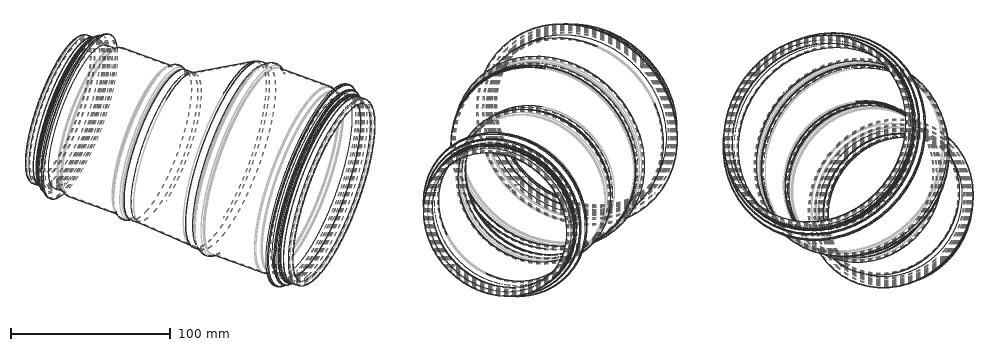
import cadquery as cq
import math


TOTAL_LENGTH = 185.2
SMALL_RADIUS = 99.0 / 2
LARGE_RADIUS = 124.0 / 2
WALL = 0.6

SPIGOT_LENGTH = 73.5
SEAL_THICKNESS = 1.3
GROOVE_DEPTH = SEAL_THICKNESS + WALL
SHEET_START = 2.8
HEM_OUTER_LENGTH = 6.0
HEM_INNER_LENGTH = 9.3
HEM_HEIGHT = GROOVE_DEPTH + 2 * WALL
RAMP_START = 21.9
RAMP_END = 25.4
RAMP_FOOT_BEND = 1.5
RAMP_TOP_BEND = 2.2
BEAD_CENTRE = 64.3
BEAD_HALF_WIDTH = 3.5
BEAD_HEIGHT = 2.0
BEAD_FLANK_ANGLE = 42.0
BEAD_FOOT_BEND = 1.0

SEAL_END = 15.5
SEAL_LIPS = [(8.0, 8.7, 0.7), (10.0, 11.3, 2.8), (13.9, SEAL_END, 5.2)]
LIP_CHAMFER = 0.5

SLEEVE_OVERLAP = 4.6
CONE_START = 75.5
CONE_END = 109.8
SMALL_SLEEVE_RADIUS = SMALL_RADIUS + WALL
LARGE_SLEEVE_RADIUS = LARGE_RADIUS - WALL
ECCENTRICITY = LARGE_SLEEVE_RADIUS - SMALL_SLEEVE_RADIUS


def unit(start, end):
    """Unit direction from one point to another."""
    length = math.dist(start, end)
    return (end[0] - start[0]) / length, (end[1] - start[1]) / length


def offset_path(path, distance):
    """Shift a bent path toward the axis, keeping its bends concentric."""
    points = [(x, y) for x, y, _ in path]
    shifted = []
    for i, (x, y, bend) in enumerate(path):
        before = unit(points[max(i - 1, 0)], points[max(i, 1)])
        last = len(path) - 1
        after = unit(points[min(i, last - 1)], points[min(i + 1, last)])
        share = distance / (1 + before[0] * after[0] + before[1] * after[1])
        turns_left = before[0] * after[1] - before[1] * after[0] > 0
        new_bend = bend + distance if turns_left else bend - distance
        shift_x = share * (before[1] + after[1])
        shift_y = -share * (before[0] + after[0])
        shifted.append((x + shift_x, y + shift_y, new_bend if bend else 0))
    return shifted


def trace_path(sketch, path):
    """Continue a sketch along a path of (x, y, bend radius), rounding each bend."""
    for before, corner, after in zip(path, path[1:], path[2:]):
        point = corner[:2]
        back = unit(point, before[:2])
        ahead = unit(point, after[:2])
        half_angle = math.acos(back[0] * ahead[0] + back[1] * ahead[1]) / 2
        tangent = corner[2] / math.tan(half_angle)
        middle = unit((0, 0), (back[0] + ahead[0], back[1] + ahead[1]))
        reach = corner[2] / math.sin(half_angle) - corner[2]
        bend_start = (point[0] + tangent * back[0], point[1] + tangent * back[1])
        bend_middle = (point[0] + reach * middle[0], point[1] + reach * middle[1])
        bend_end = (point[0] + tangent * ahead[0], point[1] + tangent * ahead[1])
        sketch = sketch.lineTo(*bend_start).threePointArc(bend_middle, bend_end)
    return sketch.lineTo(*path[-1][:2])


def revolve_about_x(sketch):
    return sketch.close().revolve(360, (0, 0, 0), (1, 0, 0))


def make_hem(radius):
    """Folded end: two legs around the sheet and the seal, joined by a round nose."""
    inner = radius - HEM_HEIGHT
    middle = radius - HEM_HEIGHT / 2
    nose = HEM_HEIGHT / 2
    profile = (
        cq.Workplane("XY")
        .moveTo(HEM_OUTER_LENGTH, radius)
        .lineTo(nose, radius)
        .threePointArc((0, middle), (nose, inner))
        .lineTo(HEM_INNER_LENGTH, inner)
        .lineTo(HEM_INNER_LENGTH, inner + WALL)
        .lineTo(nose, inner + WALL)
        .threePointArc((WALL, middle), (nose, radius - WALL))
        .lineTo(HEM_OUTER_LENGTH, radius - WALL)
    )
    return revolve_about_x(profile)


def make_spigot(radius):
    """Sheet tube with a folded end, a seal groove and a stop bead."""
    groove_radius = radius - GROOVE_DEPTH
    slope = math.radians(BEAD_FLANK_ANGLE)
    apex_height = BEAD_HALF_WIDTH * math.tan(slope)
    crown_bend = (apex_height - BEAD_HEIGHT) / (1 / math.cos(slope) - 1)
    outside = [
        (SHEET_START, groove_radius, 0),
        (RAMP_START, groove_radius, RAMP_FOOT_BEND),
        (RAMP_END, radius, RAMP_TOP_BEND),
        (BEAD_CENTRE - BEAD_HALF_WIDTH, radius, BEAD_FOOT_BEND),
        (BEAD_CENTRE, radius + apex_height, crown_bend),
        (BEAD_CENTRE + BEAD_HALF_WIDTH, radius, BEAD_FOOT_BEND),
        (SPIGOT_LENGTH, radius, 0),
    ]
    inside = offset_path(outside, WALL)[::-1]
    sketch = trace_path(cq.Workplane("XY").moveTo(*outside[0][:2]), outside)
    sketch = trace_path(sketch.lineTo(*inside[0][:2]), inside)
    return revolve_about_x(sketch).union(make_hem(radius))


def make_seal(radius):
    """Rubber ring in the groove: a flat base held by the hem, with three lips."""
    bottom = radius - GROOVE_DEPTH
    base_corners = [
        (SHEET_START, bottom),
        (SHEET_START, bottom + SEAL_THICKNESS),
        (SEAL_END, bottom + SEAL_THICKNESS),
        (SEAL_END, bottom),
    ]
    seal = revolve_about_x(cq.Workplane("XY").polyline(base_corners))
    for start, end, height in SEAL_LIPS:
        tip = radius + height
        lip_corners = [
            (start, bottom),
            (start, tip - LIP_CHAMFER),
            (start + LIP_CHAMFER, tip),
            (end, tip),
            (end, bottom),
        ]
        seal = seal.union(revolve_about_x(cq.Workplane("XY").polyline(lip_corners)))
    return seal


def small_end(body):
    """Place a body at the small end, opening toward -X."""
    return body.translate((0, -ECCENTRICITY, 0))


def large_end(body):
    """Place a body at the large end, opening toward +X."""
    return body.mirror("YZ").translate((TOTAL_LENGTH, 0, 0))


def cone_envelope(inset):
    """Solid made of the sleeves and the oblique cone, reduced by an inset in radius."""
    small_radius = SMALL_SLEEVE_RADIUS - inset
    large_radius = LARGE_SLEEVE_RADIUS - inset
    small_start = SPIGOT_LENGTH - SLEEVE_OVERLAP
    large_end_x = TOTAL_LENGTH - SPIGOT_LENGTH + SLEEVE_OVERLAP
    small_sleeve = (
        cq.Workplane("YZ", origin=(small_start, -ECCENTRICITY, 0))
        .circle(small_radius)
        .extrude(CONE_START - small_start)
    )
    cone = (
        cq.Workplane("YZ", origin=(CONE_START, -ECCENTRICITY, 0))
        .circle(small_radius)
        .workplane(offset=CONE_END - CONE_START)
        .center(ECCENTRICITY, 0)
        .circle(large_radius)
        .loft(ruled=True)
    )
    large_sleeve = (
        cq.Workplane("YZ", origin=(CONE_END, 0, 0))
        .circle(large_radius)
        .extrude(large_end_x - CONE_END)
    )
    return small_sleeve.union(cone).union(large_sleeve)


def make_cone():
    """Hollow cone: its small sleeve fits over a spigot, its large sleeve inside one."""
    return cone_envelope(0).cut(cone_envelope(WALL))


small_spigot = small_end(make_spigot(SMALL_RADIUS))
large_spigot = large_end(make_spigot(LARGE_RADIUS))
small_seal = small_end(make_seal(SMALL_RADIUS))
large_seal = large_end(make_seal(LARGE_RADIUS))
cone = make_cone()

bodies = [small_spigot, large_spigot, small_seal, large_seal, cone]
result = cq.Compound.makeCompound([body.solids().val() for body in bodies])